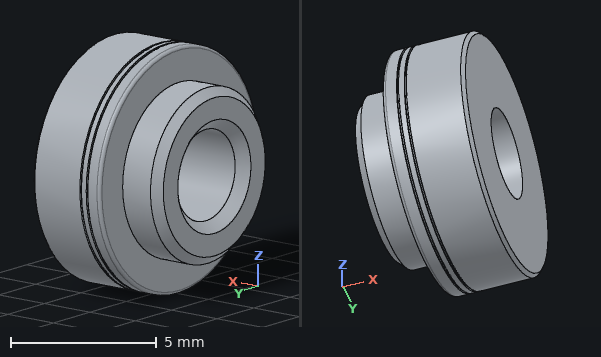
import cadquery as cq

body_diameter = 8.74
total_length = 4.53
front_edge_radius = 0.12
back_edge_chamfer = 0.13

hub_diameter = 6.22
hub_length = 1.54
hub_chamfer = 0.315

bore_diameter = 3.23
bore_chamfer = 0.385

groove_width = 0.07
groove_depth = 0.07
groove_starts = (2.06, 2.34)


def cylinder(diameter, start, length):
    """Solid cylinder along X, beginning at X = start."""
    return cq.Workplane("YZ").workplane(offset=start).circle(diameter / 2).extrude(length)


def make_body():
    """Large disc with the hub-side rim rounded and the far rim chamfered."""
    body = cylinder(body_diameter, hub_length, total_length - hub_length)
    body = body.faces("<X").edges().fillet(front_edge_radius)
    return body.faces(">X").edges().chamfer(back_edge_chamfer)


def make_hub():
    """Smaller hub with its free rim chamfered."""
    return cylinder(hub_diameter, 0, hub_length).faces("<X").edges().chamfer(hub_chamfer)


def make_groove(start):
    """Ring that cuts one groove into the body."""
    floor_diameter = body_diameter - 2 * groove_depth
    core = cylinder(floor_diameter, start, groove_width)
    return cylinder(body_diameter, start, groove_width).cut(core)


result = make_body().union(make_hub())
for groove_start in groove_starts:
    result = result.cut(make_groove(groove_start))

result = result.cut(cylinder(bore_diameter, 0, total_length))
bore_rim = cq.selectors.RadiusNthSelector(0)
result = result.faces("<X").edges(bore_rim).chamfer(bore_chamfer)